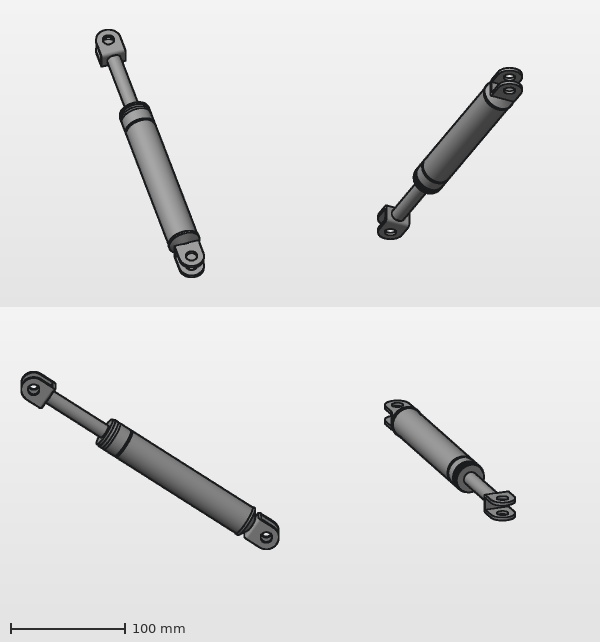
import cadquery as cq


pin_spacing = 246.0
clevis_width = 22.0
clevis_height = 17.0
clevis_wall = 3.0
clevis_corner_radius = 3.0
pin_hole_diameter = 10.0
pin_to_clevis_back = 16.0
eye_radius = clevis_width / 2

rod_diameter = 12.5

housing_start = 75.0
housing_radius = 13.6
nose_length = 2.4
nose_radius = 12.9
wide_groove_center = 81.5
wide_groove_width = 2.4
wide_groove_depth = 0.4
narrow_groove_center = 94.8
narrow_groove_width = 1.6
narrow_groove_depth = 0.8
rim_radius = 14.1
rim_start = 222.4
rim_end = 224.8
cone_tip_radius = 6.0

rod_start = pin_to_clevis_back
housing_end = pin_spacing - pin_to_clevis_back


def make_clevis():
    """Fork with its pin hole at the origin, open toward -X and closed at its back wall."""
    slot_height = clevis_height - 2 * clevis_wall
    slot_length = eye_radius + pin_to_clevis_back - clevis_wall
    block = (
        cq.Workplane("XY")
        .box(pin_to_clevis_back, clevis_width, clevis_height, centered=(False, True, True))
        .edges(">X and |Y")
        .fillet(clevis_corner_radius)
    )
    eye = cq.Workplane("XY").circle(eye_radius).extrude(clevis_height / 2, both=True)
    slot = (
        cq.Workplane("XY")
        .box(slot_length, clevis_width, slot_height, centered=(False, True, True))
        .translate((-eye_radius, 0, 0))
    )
    pin_hole = cq.Workplane("XY").circle(pin_hole_diameter / 2).extrude(clevis_height, both=True)
    return block.union(eye).cut(slot).cut(pin_hole)


def make_rod():
    """Piston rod with its clevis, butting against the housing's flat front face."""
    shaft = (
        cq.Workplane("XZ", origin=(rod_start, 0, 0))
        .rect(housing_start - rod_start, rod_diameter / 2, centered=False)
        .revolve(360, (0, 0, 0), (1, 0, 0))
    )
    return make_clevis().union(shaft)


def add_round_groove(outline, center, width, depth):
    """Continue the outline along the housing wall and through one rounded groove."""
    return outline.lineTo(center - width / 2, housing_radius).threePointArc(
        (center, housing_radius - depth), (center + width / 2, housing_radius)
    )


def make_housing():
    """Turned cylinder with a stepped nose, two grooves, a raised rim and a conical end."""
    outline = (
        cq.Workplane("XZ")
        .moveTo(housing_start, 0)
        .lineTo(housing_start, nose_radius)
        .lineTo(housing_start + nose_length, nose_radius)
        .lineTo(housing_start + nose_length, housing_radius)
    )
    outline = add_round_groove(outline, wide_groove_center, wide_groove_width, wide_groove_depth)
    outline = add_round_groove(
        outline, narrow_groove_center, narrow_groove_width, narrow_groove_depth
    )
    outline = (
        outline.lineTo(rim_start, housing_radius)
        .lineTo(rim_start, rim_radius)
        .lineTo(rim_end, rim_radius)
        .lineTo(housing_end, cone_tip_radius)
        .lineTo(housing_end, 0)
        .close()
    )
    barrel = outline.revolve(360, (0, 0, 0), (1, 0, 0))
    rear_clevis = make_clevis().mirror("YZ").translate((pin_spacing, 0, 0))
    return barrel.union(rear_clevis)


rod = make_rod()
housing = make_housing()
result = cq.Compound.makeCompound([rod.val(), housing.val()])